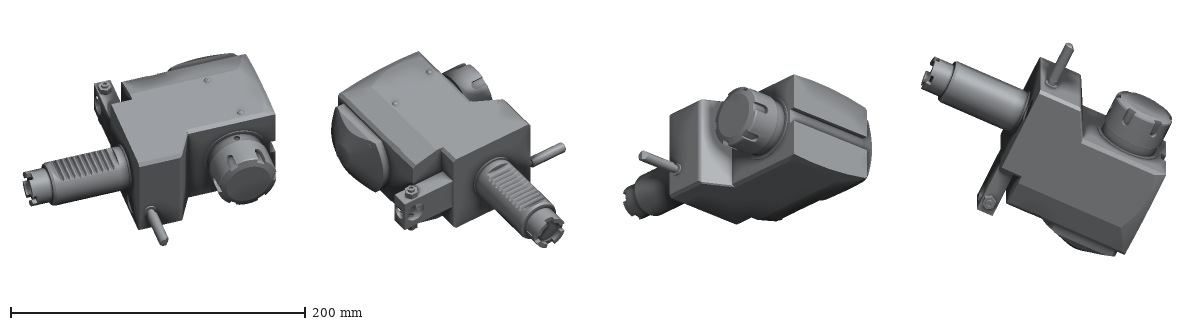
import cadquery as cq
import math


HALF = 32.0
BODY_BACK = 103.8
EDGE_CHAMFER = 2.0
BASE_BACK = 15.0
LEFT_X = -55.0
LEFT_CHAMFER = 2.2
SLOPE_START_X = -35.5
SLOPE = math.radians(15)
HEAD_RIGHT_X = 12.0
HEAD_CHAMFER_WIDTH = 2.8
HEAD_CHAMFER_DROP = 1.7
STEP_TOP_Y = 41.2
STEP_BOTTOM_Y = 30.5
STEP_CHAMFER = 0.9
STEP_FILLET = 3.5

CROWN_X = -8.6
CROWN_BACK_Z = 31.1
CROWN_RADIUS = 224.9
CROWN_SLOPE = math.radians(11.5)
CROWN_LENGTH = 20.8

BACK_SLOT_HEIGHT = 10.0
BACK_SLOT_DEPTH = 4.0

NOTCH_FRONT_Y = 33.5
NOTCH_LENGTH = 7.6
NOTCH_DEPTH = 0.5

RECESS_X = 12.5
RECESS_Z = -21.8
RECESS_RADIUS = 7.6
RECESS_DEPTH = 1.0

SCREW_RADIUS = 2.2
SCREW_HEIGHT = 1.4
SCREW_SLOT = 0.2
SCREW_PLACES = [(-32.0, 69.0), (4.8, 81.0)]

HEAD_Y = 74.9

CAP_BASE_X = -60.2
CAP_TIP_X = -71.1
CAP_RADIUS = 32.2
CAP_TIP_RADIUS = 8.5
CAP_HALF_HEIGHT = 22.8
CAP_BACK = 24.5
CAP_CORNER = 2.6
CAP_BEVEL_START_X = -61.5
CAP_BEVEL_RUN = 2.3
CAP_BEVEL_DROP = 1.4
CAP_SCREW_RADIUS = 2.0
CAP_SCREW_OFFSET = 18.0
CAP_SCREW_TOP_X = -62.6

FLANGE_RADIUS = 22.5
FLANGE_END_X = 12.6
COLLAR_RADIUS = 19.9
COLLAR_END_X = 19.2
GROOVE_RADIUS = 18.7
NUT_RADIUS = 21.1
NUT_START_X = 20.0
NUT_EDGE_X = 38.4
NUT_SHOULDER_X = 39.5
NUT_SHOULDER_RADIUS = 20.6
NUT_END_X = 41.0
NUT_FACE_RADIUS = 15.5
NUT_SLOTS = 6
NUT_SLOT_WIDTH = 6.0
NUT_SLOT_START_X = 28.5
NUT_SLOT_DEPTH = 2.8
COLLAR_HOLE_X = 16.0
COLLAR_HOLE_RADIUS = 2.2
COLLAR_HOLE_DEPTH = 1.7

SHANK_RADIUS = 15.0
SHANK_END_Y = -55.0
SHANK_CHAMFER_LENGTH = 1.7
SHANK_CHAMFER = 0.7
SHANK_FLANGE_RADIUS = 16.0
SHANK_FLANGE_LENGTH = 1.2
SHANK_RELIEF_RADIUS = 14.7
SHANK_RELIEF_END_Y = -2.5
RING_GROOVE_RADIUS = 11.0
RING_GROOVE_LENGTH = 0.9
COUPLING_RADIUS = 12.0
OVERALL_LENGTH = 173.0
COUPLING_END_Y = BODY_BACK - OVERALL_LENGTH
COUPLING_BORE_RADIUS = 8.6
COUPLING_BORE_DEPTH = 4.2
COUPLING_SLOT_DEPTH = 3.1
COUPLING_SLOT_OUTER = 6.7
COUPLING_SLOT_INNER = 5.0
COUPLING_SLOTS = 4
COUPLING_SLOT_DIP = 0.9
POCKET_Y = -61.0
POCKET_RADIUS = 3.0
POCKET_HEIGHT = 2.6
POCKET_DEPTH = 0.5

TOOTH_TOP_Z = 12.0
TOOTH_ROOT_Z = 10.4
TOOTH_FLAT_START_Y = -6.7
TOOTH_FLAT_END_Y = -49.8
FIRST_ROOT_Y = -11.8
TOOTH_PITCH = 4.0
TOOTH_GAPS = 10
GAP_TOP = 3.1
GAP_ROOT = 0.9

BAR_LEFT_X = -72.1
BAR_FRONT_Y = 1.0
BAR_BACK_Y = 13.0
BAR_HALF_HEIGHT = 12.3
BAR_CHAMFER = 0.3
BAR_HOLE_X = -63.0
BAR_HOLE_RADIUS = 7.1
BAR_SIDE_HOLE_RADIUS = 4.7
BAR_SIDE_HOLE_END_X = -46.7
BAR_PILOT_RADIUS = 1.47
BAR_PILOT_DEPTH = 3.5
LOCK_NUT_Y = 6.0
LOCK_NUT_FLATS = 8.1
LOCK_NUT_TOP_Z = 16.6
LOCK_STUD_RADIUS = 2.6
LOCK_STUD_TOP_Z = 18.7
LOCK_SOCKET_FLATS = 2.8
LOCK_SOCKET_DEPTH = 1.7
LOCK_BORE_RADIUS = 1.9
LOCK_BORE_END_Z = 8.0

PIN_Y = 7.6
PIN_Z = -13.7
PIN_RADIUS = 3.6
PIN_START_X = 37.4
OVERALL_WIDTH = 136.8
PIN_END_X = BAR_LEFT_X + OVERALL_WIDTH
PIN_TIP_CHAMFER = 0.9
PIN_BEVEL = 3.0
PIN_NECK_RADIUS = 2.2
PIN_RING_RADIUS = 2.8
PIN_RING_START_X = 33.7
PIN_RING_LENGTH = 2.8
PIN_FLANGE_RADIUS = 4.3
PIN_FLANGE_LENGTH = 1.0


def box(x_range, y_range, z_range):
    """Axis-aligned block between the given limits."""
    low, high = zip(x_range, y_range, z_range)
    size = [top - bottom for bottom, top in zip(low, high)]
    return cq.Workplane("XY").box(*size, centered=False).translate(low)


def rod(start, direction, radius, length):
    """Cylinder from a start point along a direction."""
    cylinder = cq.Solid.makeCylinder(radius, length, cq.Vector(*start), cq.Vector(*direction))
    return cq.Workplane(cylinder)


def extrude_y(points, y_front, y_back):
    """Prism along Y from an outline of (x, z) points."""
    return cq.Workplane("XZ", origin=(0, y_front, 0)).polyline(points).close().extrude(y_front - y_back)


def turned_on_head_axis(points):
    """Solid turned about the cap and spindle axis from (x, radius) points."""
    outline = [(x, HEAD_Y + radius) for x, radius in points]
    return cq.Workplane("XY").polyline(outline).close().revolve(360, (0, HEAD_Y, 0), (1, HEAD_Y, 0))


def both_sides_in_z(shape):
    """The shape together with its mirror image in the plane Z = 0."""
    return shape.union(shape.mirror("XY"))


def housing_plan():
    """Housing seen from above, full height, with the slanted step rounded and chamfered."""
    plan = (
        cq.Workplane("XY", origin=(0, 0, -HALF))
        .polyline([
            (LEFT_X, 0), (HALF, 0), (HALF, STEP_BOTTOM_Y), (HEAD_RIGHT_X, STEP_TOP_Y),
            (HEAD_RIGHT_X, BODY_BACK), (LEFT_X, BODY_BACK),
        ])
        .close()
        .extrude(2 * HALF)
    )
    corner = cq.selectors.NearestToPointSelector((HALF, STEP_BOTTOM_Y, 0))
    plan = plan.edges(corner).fillet(STEP_FILLET)
    step_middle = ((HEAD_RIGHT_X + HALF) / 2, (STEP_TOP_Y + STEP_BOTTOM_Y) / 2)
    for z in (-HALF, HALF):
        step_edge = cq.selectors.NearestToPointSelector((*step_middle, z))
        plan = plan.edges(step_edge).chamfer(STEP_CHAMFER)
    return plan


def housing():
    """Main body: square base, wider head with sloped left edges, and the cuts in both."""
    slope_end_x = LEFT_X + LEFT_CHAMFER
    slope_end_z = HALF - (SLOPE_START_X - slope_end_x) * math.tan(SLOPE)
    upper = [
        (LEFT_X, slope_end_z - LEFT_CHAMFER), (slope_end_x, slope_end_z), (SLOPE_START_X, HALF),
        (HALF - EDGE_CHAMFER, HALF), (HALF, HALF - EDGE_CHAMFER),
    ]
    lower = [(x, -z) for x, z in reversed(upper)]
    wide = extrude_y(upper + lower, BASE_BACK, BODY_BACK)
    base = box((-HALF, HALF), (0, BASE_BACK), (-HALF, HALF)).edges("|Y").chamfer(EDGE_CHAMFER)
    body = wide.union(base).intersect(housing_plan())

    axis_z = CROWN_BACK_Z - CROWN_RADIUS
    front_radius = CROWN_RADIUS + CROWN_LENGTH * math.tan(CROWN_SLOPE)
    back_part = box((LEFT_X, HALF), (BODY_BACK - CROWN_LENGTH, BODY_BACK), (0, HALF))
    cone = cq.Workplane(cq.Solid.makeCone(
        front_radius, CROWN_RADIUS, CROWN_LENGTH,
        cq.Vector(CROWN_X, BODY_BACK - CROWN_LENGTH, axis_z), cq.Vector(0, 1, 0),
    ))
    body = body.cut(both_sides_in_z(back_part.cut(cone)))

    head_chamfer = extrude_y(
        [
            (HEAD_RIGHT_X - HEAD_CHAMFER_WIDTH, HALF), (HEAD_RIGHT_X, HALF),
            (HEAD_RIGHT_X, HALF - HEAD_CHAMFER_DROP),
        ],
        STEP_TOP_Y, BODY_BACK,
    )
    body = body.cut(both_sides_in_z(head_chamfer))

    slot_half = BACK_SLOT_HEIGHT / 2
    body = body.cut(box((LEFT_X, HALF), (BODY_BACK - BACK_SLOT_DEPTH, BODY_BACK), (-slot_half, slot_half)))
    body = body.cut(rod((RECESS_X, 0, RECESS_Z), (0, 1, 0), RECESS_RADIUS, RECESS_DEPTH))

    notch = extrude_y(
        [
            (LEFT_X, slope_end_z - LEFT_CHAMFER - NOTCH_DEPTH), (slope_end_x + NOTCH_DEPTH, slope_end_z),
            (slope_end_x, slope_end_z + NOTCH_DEPTH), (LEFT_X, slope_end_z + NOTCH_DEPTH),
        ],
        NOTCH_FRONT_Y, NOTCH_FRONT_Y + NOTCH_LENGTH,
    )
    return body.cut(both_sides_in_z(notch))


def top_screws():
    """Domed screw heads, each with a slot along X."""
    sphere_radius = (SCREW_RADIUS**2 + SCREW_HEIGHT**2) / (2 * SCREW_HEIGHT)
    heads = cq.Workplane("XY")
    for x, y in SCREW_PLACES:
        ball = cq.Workplane("XY").sphere(sphere_radius)
        ball = ball.translate((x, y, HALF + SCREW_HEIGHT - sphere_radius))
        head = ball.intersect(rod((x, y, HALF - SCREW_HEIGHT), (0, 0, 1), SCREW_RADIUS, 2 * SCREW_HEIGHT))
        slot = box(
            (x - SCREW_RADIUS, x + SCREW_RADIUS), (y - SCREW_SLOT / 2, y + SCREW_SLOT / 2),
            (HALF + SCREW_HEIGHT / 2, HALF + SCREW_HEIGHT),
        )
        heads = heads.union(head.cut(slot))
    return heads


def cap():
    """Conical cover on the left face, cut flat at the back, top and bottom."""
    cone = turned_on_head_axis([
        (LEFT_X, 0), (LEFT_X, CAP_RADIUS), (CAP_BASE_X, CAP_RADIUS),
        (CAP_TIP_X, CAP_TIP_RADIUS), (CAP_TIP_X, 0),
    ])
    limits = box(
        (CAP_TIP_X, LEFT_X), (HEAD_Y - CAP_RADIUS, HEAD_Y + CAP_BACK),
        (-CAP_HALF_HEIGHT, CAP_HALF_HEIGHT),
    )
    limits = limits.edges("|X and >Y").chamfer(CAP_CORNER)
    bevel_slope = CAP_BEVEL_DROP / CAP_BEVEL_RUN
    bevel_end_z = CAP_HALF_HEIGHT - (CAP_BEVEL_START_X - CAP_TIP_X) * bevel_slope
    bevel = extrude_y(
        [(CAP_BEVEL_START_X, CAP_HALF_HEIGHT), (CAP_TIP_X, bevel_end_z), (CAP_TIP_X, CAP_HALF_HEIGHT)],
        HEAD_Y - CAP_RADIUS, HEAD_Y + CAP_RADIUS,
    )
    cover = cone.intersect(limits).cut(both_sides_in_z(bevel))
    for side_y in (-1, 1):
        for side_z in (-1, 1):
            seat = (CAP_SCREW_TOP_X, HEAD_Y + side_y * CAP_SCREW_OFFSET, side_z * CAP_SCREW_OFFSET)
            cover = cover.union(rod(seat, (1, 0, 0), CAP_SCREW_RADIUS, LEFT_X - CAP_SCREW_TOP_X))
    return cover


def spindle():
    """Collar and clamping nut on the right face of the head."""
    nose = turned_on_head_axis([
        (HEAD_RIGHT_X, 0), (HEAD_RIGHT_X, FLANGE_RADIUS), (FLANGE_END_X, FLANGE_RADIUS),
        (FLANGE_END_X, COLLAR_RADIUS), (COLLAR_END_X, COLLAR_RADIUS), (COLLAR_END_X, GROOVE_RADIUS),
        (NUT_START_X, GROOVE_RADIUS), (NUT_START_X, NUT_RADIUS), (NUT_EDGE_X, NUT_RADIUS),
        (NUT_SHOULDER_X, NUT_SHOULDER_RADIUS), (NUT_END_X, NUT_FACE_RADIUS), (NUT_END_X, 0),
    ])
    slot_length = NUT_END_X - NUT_SLOT_START_X + NUT_SLOT_WIDTH
    slot = (
        cq.Workplane("XY", origin=(NUT_SLOT_START_X + slot_length / 2, HEAD_Y, NUT_RADIUS - NUT_SLOT_DEPTH))
        .slot2D(slot_length, NUT_SLOT_WIDTH)
        .extrude(2 * NUT_SLOT_DEPTH)
    )
    for index in range(NUT_SLOTS):
        angle = 360 / NUT_SLOTS * (index + 0.5)
        nose = nose.cut(slot.rotate((0, HEAD_Y, 0), (1, HEAD_Y, 0), angle))
    hole_bottom = (COLLAR_HOLE_X, HEAD_Y, COLLAR_RADIUS - COLLAR_HOLE_DEPTH)
    return nose.cut(rod(hole_bottom, (0, 0, 1), COLLAR_HOLE_RADIUS, 2 * COLLAR_HOLE_DEPTH))


def shank():
    """Round shank with a toothed flat on top and a slotted coupling at its end."""
    coupling_start_y = SHANK_END_Y - RING_GROOVE_LENGTH
    body = (
        cq.Workplane("XY")
        .polyline([
            (0, 0), (SHANK_FLANGE_RADIUS, 0), (SHANK_FLANGE_RADIUS, -SHANK_FLANGE_LENGTH),
            (SHANK_RELIEF_RADIUS, -SHANK_FLANGE_LENGTH), (SHANK_RADIUS, SHANK_RELIEF_END_Y),
            (SHANK_RADIUS, SHANK_END_Y + SHANK_CHAMFER_LENGTH),
            (SHANK_RADIUS - SHANK_CHAMFER, SHANK_END_Y), (RING_GROOVE_RADIUS, SHANK_END_Y),
            (RING_GROOVE_RADIUS, coupling_start_y), (COUPLING_RADIUS, coupling_start_y),
            (COUPLING_RADIUS, COUPLING_END_Y), (0, COUPLING_END_Y),
        ])
        .close()
        .revolve(360, (0, 0, 0), (0, 1, 0))
    )

    flat_depth = SHANK_RADIUS - TOOTH_TOP_Z
    flat_profile = [
        (TOOTH_FLAT_START_Y, TOOTH_TOP_Z), (TOOTH_FLAT_END_Y, TOOTH_TOP_Z),
        (TOOTH_FLAT_END_Y - flat_depth, SHANK_RADIUS), (TOOTH_FLAT_START_Y, SHANK_RADIUS),
    ]
    body = body.cut(cq.Workplane("YZ").polyline(flat_profile).close().extrude(SHANK_RADIUS, both=True))
    for index in range(TOOTH_GAPS):
        root_y = FIRST_ROOT_Y - index * TOOTH_PITCH
        gap_profile = [
            (root_y - GAP_ROOT / 2, TOOTH_ROOT_Z), (root_y + GAP_ROOT / 2, TOOTH_ROOT_Z),
            (root_y + GAP_TOP / 2, TOOTH_TOP_Z), (root_y - GAP_TOP / 2, TOOTH_TOP_Z),
        ]
        body = body.cut(cq.Workplane("YZ").polyline(gap_profile).close().extrude(SHANK_RADIUS, both=True))

    body = body.cut(rod((0, COUPLING_END_Y, 0), (0, 1, 0), COUPLING_BORE_RADIUS, COUPLING_BORE_DEPTH))
    slot = extrude_y(
        [
            (-COUPLING_SLOT_INNER / 2, COUPLING_BORE_RADIUS - COUPLING_SLOT_DIP),
            (COUPLING_SLOT_INNER / 2, COUPLING_BORE_RADIUS - COUPLING_SLOT_DIP),
            (COUPLING_SLOT_OUTER / 2, COUPLING_RADIUS), (-COUPLING_SLOT_OUTER / 2, COUPLING_RADIUS),
        ],
        COUPLING_END_Y, COUPLING_END_Y + COUPLING_SLOT_DEPTH,
    )
    for index in range(COUPLING_SLOTS):
        body = body.cut(slot.rotate((0, 0, 0), (0, 1, 0), 360 / COUPLING_SLOTS * index))

    pocket = rod((-COUPLING_RADIUS, POCKET_Y, 0), (1, 0, 0), POCKET_RADIUS, POCKET_DEPTH)
    upper_half = box(
        (-COUPLING_RADIUS, 0), (POCKET_Y - POCKET_RADIUS, POCKET_Y + POCKET_RADIUS), (0, POCKET_HEIGHT)
    )
    return body.cut(pocket.intersect(upper_half))


def hexagon(z, across_flats, height):
    """Hexagonal prism on the lock screw axis, rising from z by a signed height."""
    across_corners = across_flats / math.cos(math.pi / 6)
    return cq.Workplane("XY", origin=(BAR_HOLE_X, LOCK_NUT_Y, z)).polygon(6, across_corners).extrude(height)


def lock_screw():
    """Hexagon nut and socket stud standing on the top of the bar."""
    nut = hexagon(BAR_HALF_HEIGHT, LOCK_NUT_FLATS, LOCK_NUT_TOP_Z - BAR_HALF_HEIGHT)
    stud_foot = (BAR_HOLE_X, LOCK_NUT_Y, BAR_HALF_HEIGHT)
    stud = rod(stud_foot, (0, 0, 1), LOCK_STUD_RADIUS, LOCK_STUD_TOP_Z - BAR_HALF_HEIGHT)
    return nut.union(stud).cut(hexagon(LOCK_STUD_TOP_Z, LOCK_SOCKET_FLATS, -LOCK_SOCKET_DEPTH))


def side_bar():
    """Block on the left of the base with a through hole along Y and a hole from its end."""
    middle_y = (BAR_FRONT_Y + BAR_BACK_Y) / 2
    bar = box((BAR_LEFT_X, -HALF), (BAR_FRONT_Y, BAR_BACK_Y), (-BAR_HALF_HEIGHT, BAR_HALF_HEIGHT))
    bar = bar.edges("|X or <X").chamfer(BAR_CHAMFER)
    bar = bar.cut(rod((BAR_HOLE_X, BAR_FRONT_Y, 0), (0, 1, 0), BAR_HOLE_RADIUS, BAR_BACK_Y - BAR_FRONT_Y))
    side_hole_length = BAR_SIDE_HOLE_END_X - BAR_LEFT_X
    bar = bar.cut(rod((BAR_LEFT_X, middle_y, 0), (1, 0, 0), BAR_SIDE_HOLE_RADIUS, side_hole_length))
    bar = bar.cut(rod((BAR_SIDE_HOLE_END_X, middle_y, 0), (1, 0, 0), BAR_PILOT_RADIUS, BAR_PILOT_DEPTH))
    bore_start = (BAR_HOLE_X, LOCK_NUT_Y, -LOCK_BORE_END_Z)
    stud_bore = rod(bore_start, (0, 0, 1), LOCK_BORE_RADIUS, 2 * LOCK_BORE_END_Z)
    return bar.cut(stud_bore).union(both_sides_in_z(lock_screw()))


def coolant_pin():
    """Stepped pin on the right of the base, its tip bevelled on the back side."""
    flange = rod((HALF, PIN_Y, PIN_Z), (1, 0, 0), PIN_FLANGE_RADIUS, PIN_FLANGE_LENGTH)
    neck = rod((HALF, PIN_Y, PIN_Z), (1, 0, 0), PIN_NECK_RADIUS, PIN_START_X - HALF)
    ring = rod((PIN_RING_START_X, PIN_Y, PIN_Z), (1, 0, 0), PIN_RING_RADIUS, PIN_RING_LENGTH)
    barrel = rod((PIN_START_X, PIN_Y, PIN_Z), (1, 0, 0), PIN_RADIUS, PIN_END_X - PIN_START_X)
    barrel = barrel.faces(">X").chamfer(PIN_TIP_CHAMFER)
    back_y = PIN_Y + PIN_RADIUS
    bevel = (
        cq.Workplane("XY", origin=(0, 0, PIN_Z))
        .polyline([(PIN_END_X - PIN_BEVEL, back_y), (PIN_END_X, back_y - PIN_BEVEL), (PIN_END_X, back_y)])
        .close()
        .extrude(PIN_RADIUS, both=True)
    )
    return flange.union(neck).union(ring).union(barrel.cut(bevel))


result = housing()
for feature in (top_screws(), cap(), spindle(), shank(), side_bar(), coolant_pin()):
    result = result.union(feature)